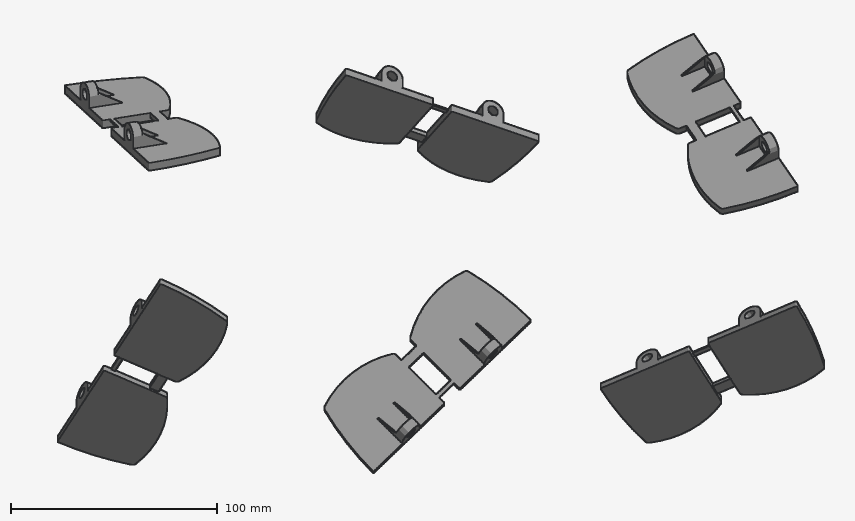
import cadquery as cq
import math

LENGTH = 106.9
DEPTH = 42.3
HEIGHT = 15.0

PLATE_THICKNESS = 4.2
GAP = 10.2
BACK_ARC_RADIUS = 49.2
BACK_ARC_CREST_X = 31.7
SIDE_ARC_RADIUS = 158.3
OUTER_BACK_FILLET = 2.1
INNER_BACK_FILLET = 1.9
OUTER_FRONT_FILLET = 0.4
INNER_FRONT_FILLET = 0.5

LUG_X = 27.9
LUG_WIDTH = 11.7
LUG_THICKNESS = 4.9
HOLE_DIAMETER = 5.3

RIB_THICKNESS = 0.7
RIB_REACH = 17.3
RIB_ANGLE = 30.0

FRONT_BAR_BOTTOM = 3.2
BACK_BAR_BOTTOM = 1.6
FRONT_BAR_START = 3.8
FRONT_BAR_WIDTH = 2.2
BACK_BAR_START = 24.9
BACK_BAR_WIDTH = 5.0

INNER_X = GAP / 2
OUTER_X = LENGTH / 2


def back_edge_y(x):
    """Y position of the crowned back edge at a given x."""
    drop = BACK_ARC_RADIUS - math.sqrt(BACK_ARC_RADIUS**2 - (x - BACK_ARC_CREST_X) ** 2)
    return DEPTH - drop


def side_edge_x(y):
    """Position of the bowed outer side, which is square to the front edge."""
    return OUTER_X - SIDE_ARC_RADIUS + math.sqrt(SIDE_ARC_RADIUS**2 - y**2)


def outer_back_corner():
    """Point where the side arc meets the back arc, from the two circle centres."""
    side_centre_x = OUTER_X - SIDE_ARC_RADIUS
    back_centre_y = DEPTH - BACK_ARC_RADIUS
    dx = BACK_ARC_CREST_X - side_centre_x
    dy = back_centre_y
    spacing = math.hypot(dx, dy)
    along = (spacing**2 + SIDE_ARC_RADIUS**2 - BACK_ARC_RADIUS**2) / (2 * spacing)
    across = math.sqrt(SIDE_ARC_RADIUS**2 - along**2)
    x = side_centre_x + (along * dx - across * dy) / spacing
    y = (along * dy + across * dx) / spacing
    return x, y


def wing_plate():
    corner_x, corner_y = outer_back_corner()
    inner_back = (INNER_X, back_edge_y(INNER_X))
    plate = (
        cq.Workplane("XY")
        .moveTo(INNER_X, 0)
        .lineTo(OUTER_X, 0)
        .threePointArc((side_edge_x(corner_y / 2), corner_y / 2), (corner_x, corner_y))
        .threePointArc((BACK_ARC_CREST_X, DEPTH), inner_back)
        .close()
        .extrude(PLATE_THICKNESS)
    )
    corner_fillets = [
        ((corner_x, corner_y), OUTER_BACK_FILLET),
        (inner_back, INNER_BACK_FILLET),
        ((OUTER_X, 0), OUTER_FRONT_FILLET),
        ((INNER_X, 0), INNER_FRONT_FILLET),
    ]
    for (x, y), radius in corner_fillets:
        corner = cq.selectors.NearestToPointSelector((x, y, PLATE_THICKNESS / 2))
        plate = plate.edges("|Z").edges(corner).fillet(radius)
    return plate


def ribbed_lug():
    """Round-topped lug whose flanks run back as two thin sloping ribs."""
    lug_radius = LUG_WIDTH / 2
    pivot_z = HEIGHT - lug_radius
    body = (
        cq.Workplane("XZ")
        .moveTo(LUG_X - lug_radius, 0)
        .lineTo(LUG_X + lug_radius, 0)
        .lineTo(LUG_X + lug_radius, pivot_z)
        .threePointArc((LUG_X, HEIGHT), (LUG_X - lug_radius, pivot_z))
        .close()
        .extrude(-RIB_REACH)
    )
    rib_top = PLATE_THICKNESS + (RIB_REACH - LUG_THICKNESS) * math.tan(math.radians(RIB_ANGLE))
    side_profile = (
        cq.Workplane("YZ")
        .polyline([
            (0, 0),
            (RIB_REACH, 0),
            (RIB_REACH, PLATE_THICKNESS),
            (LUG_THICKNESS, rib_top),
            (LUG_THICKNESS, HEIGHT),
            (0, HEIGHT),
        ])
        .close()
        .extrude(OUTER_X)
    )
    space_between_ribs = cq.Workplane("XY").box(
        LUG_WIDTH - 2 * RIB_THICKNESS, RIB_REACH, HEIGHT, centered=(True, False, False)
    ).translate((LUG_X, LUG_THICKNESS, PLATE_THICKNESS))
    hole = (
        cq.Workplane("XZ")
        .center(LUG_X, pivot_z)
        .circle(HOLE_DIAMETER / 2)
        .extrude(-RIB_REACH)
    )
    return body.intersect(side_profile).cut(space_between_ribs).cut(hole)


def joining_bar(start_y, width, bottom_z):
    return cq.Workplane("XY").box(
        GAP, width, PLATE_THICKNESS - bottom_z, centered=(True, False, False)
    ).translate((0, start_y, bottom_z))


right_wing = wing_plate().union(ribbed_lug())
left_wing = right_wing.mirror("YZ")
front_bar = joining_bar(FRONT_BAR_START, FRONT_BAR_WIDTH, FRONT_BAR_BOTTOM)
back_bar = joining_bar(BACK_BAR_START, BACK_BAR_WIDTH, BACK_BAR_BOTTOM)

result = right_wing.union(left_wing).union(front_bar).union(back_bar)